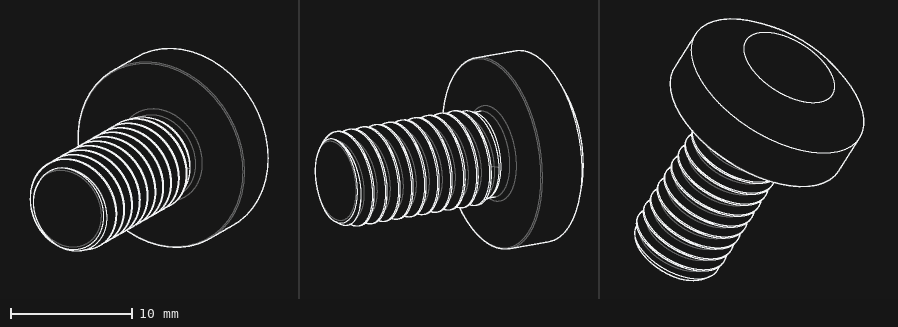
import cadquery as cq
import math

HEAD_RADIUS = 8.0
HEAD_HEIGHT = 6.0
HEAD_RIM_HEIGHT = 3.9
DOME_FLAT_RADIUS = 4.2
DOME_BULGE = 0.18
HEAD_EDGE_RADIUS = 0.1
NECK_FILLET = 0.4

PITCH = 1.25
CREST_RADIUS = 4.0
SHARP_HEIGHT = PITCH * math.sqrt(3) / 2
PITCH_RADIUS = CREST_RADIUS - SHARP_HEIGHT * 3 / 8
ROOT_RADIUS = CREST_RADIUS - SHARP_HEIGHT * 5 / 8
ROOT_BOTTOM_RADIUS = CREST_RADIUS - SHARP_HEIGHT * 17 / 24
HALF_ROOT_FLAT = PITCH / 8
FLANK_SLOPE = math.tan(math.radians(30))

SHANK_LENGTH = 15.0
NECK_LENGTH = PITCH
LEAD_IN_LENGTH = 0.9
POINT_RADIUS = 3.53
POINT_CHAMFER_LENGTH = 0.8
END_DISH_RADIUS = 3.31
END_DISH_DEPTH = 0.17
SEAM_TURN = 77

RUNOUT_HEIGHT = PITCH * 3 / 4
RUNOUT_TAPER = math.degrees(math.atan((PITCH_RADIUS - ROOT_BOTTOM_RADIUS) / (PITCH / 2)))
CUTTER_RADIUS = CREST_RADIUS + 0.08
HALF_CUTTER_WIDTH = HALF_ROOT_FLAT + (CUTTER_RADIUS - ROOT_RADIUS) * FLANK_SLOPE
GROOVE_START = NECK_LENGTH + PITCH / 2
GROOVE_HEIGHT = PITCH * 11
NO_TAPER = 360


def revolve_about_y(profile):
    return profile.close().revolve(360, (0, 0, 0), (0, 1, 0))


def make_head():
    """Domed cylindrical head with a softened lower edge."""
    middle_radius = (HEAD_RADIUS + DOME_FLAT_RADIUS) / 2
    middle_height = (HEAD_HEIGHT + HEAD_RIM_HEIGHT) / 2
    rise = HEAD_HEIGHT - HEAD_RIM_HEIGHT
    run = HEAD_RADIUS - DOME_FLAT_RADIUS
    chord = math.hypot(rise, run)
    bulge_point = (middle_radius + DOME_BULGE * rise / chord, middle_height + DOME_BULGE * run / chord)
    profile = (
        cq.Workplane("XY")
        .lineTo(HEAD_RADIUS, 0)
        .lineTo(HEAD_RADIUS, HEAD_RIM_HEIGHT)
        .threePointArc(bulge_point, (DOME_FLAT_RADIUS, HEAD_HEIGHT))
        .lineTo(0, HEAD_HEIGHT)
    )
    return revolve_about_y(profile).faces("<Y").edges().fillet(HEAD_EDGE_RADIUS)


def make_shank_blank():
    """Unthreaded shank: neck fillet, neck, lead-in cone, crest cylinder, chamfered and dished point."""
    fillet_middle = NECK_FILLET * (1 - math.sqrt(0.5))
    profile = (
        cq.Workplane("XY")
        .lineTo(PITCH_RADIUS + NECK_FILLET, 0)
        .threePointArc((PITCH_RADIUS + fillet_middle, -fillet_middle), (PITCH_RADIUS, -NECK_FILLET))
        .lineTo(PITCH_RADIUS, -NECK_LENGTH)
        .lineTo(CREST_RADIUS, -NECK_LENGTH - LEAD_IN_LENGTH)
        .lineTo(CREST_RADIUS, -SHANK_LENGTH + POINT_CHAMFER_LENGTH)
        .lineTo(POINT_RADIUS, -SHANK_LENGTH)
        .lineTo(END_DISH_RADIUS, -SHANK_LENGTH)
        .lineTo(0, -SHANK_LENGTH + END_DISH_DEPTH)
    )
    return revolve_about_y(profile)


def helical_cutter(height, taper=NO_TAPER):
    """Rounded thread groove wound up +Z from the XZ plane; a taper widens the winding with height."""
    slant = abs(1 / math.cos(math.radians(taper)))
    path = cq.Wire.makeHelix(PITCH * slant, height * slant, ROOT_RADIUS, angle=taper)
    section = (
        cq.Workplane("XZ")
        .moveTo(ROOT_RADIUS, -HALF_ROOT_FLAT)
        .threePointArc((ROOT_BOTTOM_RADIUS, 0), (ROOT_RADIUS, HALF_ROOT_FLAT))
        .lineTo(CUTTER_RADIUS, HALF_CUTTER_WIDTH)
        .lineTo(CUTTER_RADIUS, -HALF_CUTTER_WIDTH)
        .close()
    )
    return section.sweep(path, isFrenet=True)


def lay_along_shank(cutter, distance):
    """Turn a cutter from +Z to -Y and place its start at a distance below the head."""
    return cutter.rotate((0, 0, 0), (1, 0, 0), 90).translate((0, -distance, 0))


def make_threaded_shank():
    """Shank blank with the thread groove cut from the point up to a shallowing runout at the neck."""
    blank = make_shank_blank().rotate((0, 0, 0), (0, 1, 0), SEAM_TURN)
    groove = helical_cutter(GROOVE_HEIGHT)
    runout = helical_cutter(RUNOUT_HEIGHT, RUNOUT_TAPER).rotate((0, 0, 0), (1, 0, 0), 180)
    threaded = blank.cut(lay_along_shank(groove, GROOVE_START))
    return threaded.cut(lay_along_shank(runout, GROOVE_START))


result = make_head().union(make_threaded_shank())